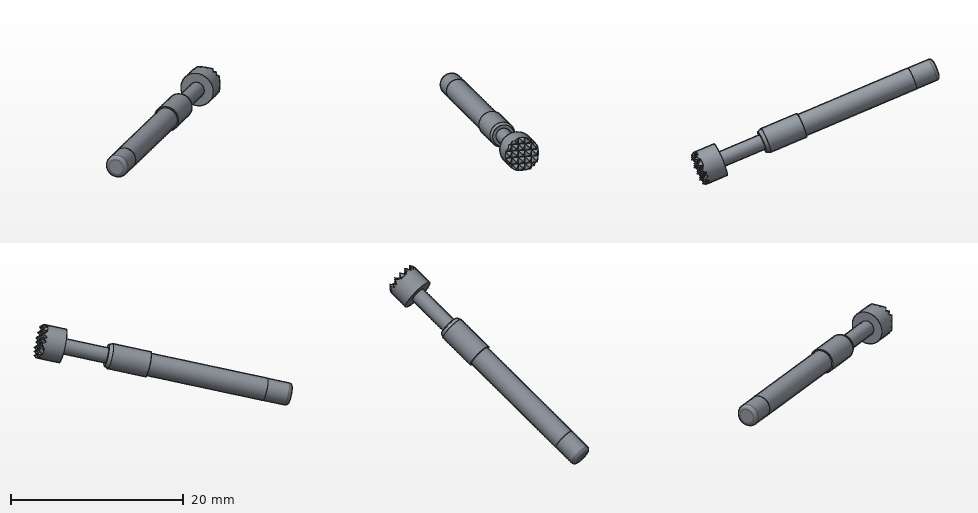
import cadquery as cq
import math

LENGTH = 30.3

HEAD_DIAMETER = 4.0
STEM_DIAMETER = 1.82
COLLAR_DIAMETER = 3.0
COLLAR_NOSE_DIAMETER = 2.6
BARREL_DIAMETER = 2.67
END_CAP_DIAMETER = 2.65

HEAD_LENGTH = 3.0
STEM_LENGTH = 5.27
COLLAR_LENGTH = 5.0
COLLAR_TAPER_LENGTH = 0.45
END_CAP_LENGTH = 3.0
END_CAP_FILLET = 0.42

TEETH_ACROSS = 5
TOOTH_PITCH = HEAD_DIAMETER / TEETH_ACROSS
GROOVE_ANGLE = 60.0
GROOVE_DEPTH = TOOTH_PITCH / 2 / math.tan(math.radians(GROOVE_ANGLE / 2))

HEAD_BACK = LENGTH - HEAD_LENGTH
COLLAR_FRONT = HEAD_BACK - STEM_LENGTH
COLLAR_BACK = COLLAR_FRONT - COLLAR_LENGTH


def turned_body():
    """Revolve the stepped half profile (radius, station) about the Y axis."""
    head_radius = HEAD_DIAMETER / 2
    stem_radius = STEM_DIAMETER / 2
    collar_radius = COLLAR_DIAMETER / 2
    barrel_radius = BARREL_DIAMETER / 2
    end_cap_radius = END_CAP_DIAMETER / 2
    return (
        cq.Workplane("XY")
        .lineTo(end_cap_radius - END_CAP_FILLET, 0)
        .radiusArc((end_cap_radius, END_CAP_FILLET), -END_CAP_FILLET)
        .lineTo(end_cap_radius, END_CAP_LENGTH)
        .lineTo(barrel_radius, END_CAP_LENGTH)
        .lineTo(barrel_radius, COLLAR_BACK)
        .lineTo(collar_radius, COLLAR_BACK)
        .lineTo(collar_radius, COLLAR_FRONT - COLLAR_TAPER_LENGTH)
        .lineTo(COLLAR_NOSE_DIAMETER / 2, COLLAR_FRONT)
        .lineTo(stem_radius, COLLAR_FRONT)
        .lineTo(stem_radius, HEAD_BACK)
        .lineTo(head_radius, HEAD_BACK)
        .lineTo(head_radius, LENGTH)
        .lineTo(0, LENGTH)
        .close()
        .revolve(360, (0, 0, 0), (0, 1, 0))
    )


def v_groove(offset):
    """V groove cutter running along Z across the whole head, centred at x = offset."""
    return (
        cq.Workplane("XY")
        .moveTo(offset - TOOTH_PITCH / 2, LENGTH)
        .lineTo(offset, LENGTH - GROOVE_DEPTH)
        .lineTo(offset + TOOTH_PITCH / 2, LENGTH)
        .close()
        .extrude(HEAD_DIAMETER, both=True)
    )


def cut_teeth(body):
    """Cut parallel grooves in two directions at right angles, leaving pyramid teeth."""
    for index in range(TEETH_ACROSS + 1):
        groove = v_groove((index - TEETH_ACROSS / 2) * TOOTH_PITCH)
        for turn in (0, 90):
            body = body.cut(groove.rotate((0, 0, 0), (0, 1, 0), turn))
    return body


result = cut_teeth(turned_body())